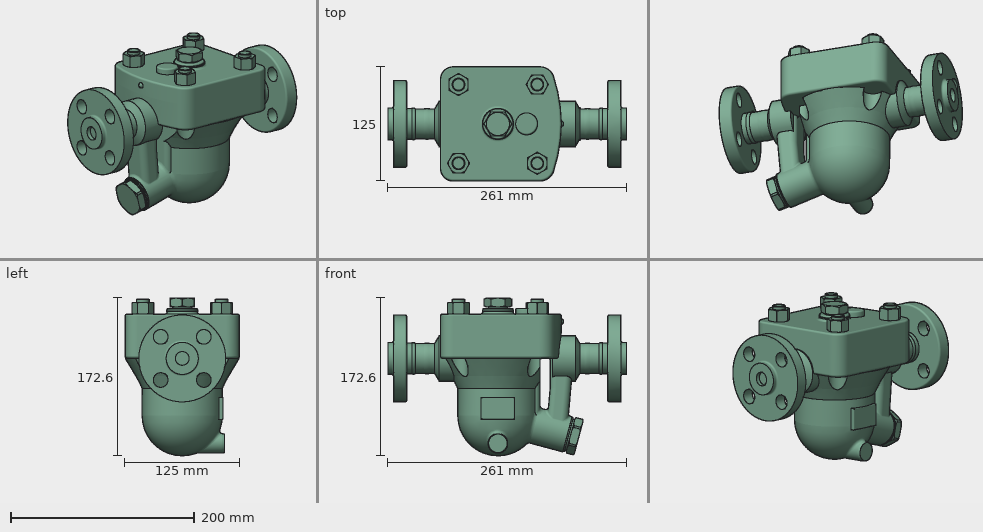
import math

import cadquery as cq

EIGHTH_TURN = math.pi / 4


SPLIT_Z = 29.6
COVER_TOP_Z = 48.4
HALF_WIDTH = 62.5
LEFT_X = -62.8
LEFT_CORNER_R = 14.0
RIGHT_CORNER_R = 16.0
RIGHT_CORNER_X = 45.8
RIGHT_CORNER_SWEEP = math.radians(71)
BULGE_TOP_X = 69.3
BULGE_BOTTOM_X = 67.8
COVER_EDGE_R = 2.2
BODY_EDGE_R = 2.6
NUB_R = 3.3
NUB_Z = 40.3
NUB_INSET = 0.8

NUT_TURN = 30.0
CROWN_ANGLE = math.radians(30)

STUD_PITCH = 86.0
STUD_D = 14.0
STUD_TOP_Z = 65.0
STUD_CHAMFER = 0.8
NUT_FLATS = 21.0
NUT_CORNER_D = 24.2
NUT_CROWN_D = 22.0
NUT_H = 12.8
SPOTFACE_D = 21.0
SPOTFACE_DEPTH = 40.0

PLUG_BOSS_D = 33.0
PLUG_BOSS_FILLET = 3.0
PLUG_GASKET_D = 34.0
PLUG_COLLAR_EDGE_R = 1.2
PLUG_GASKET_Z = 51.4
PLUG_COLLAR_Z = 52.9
PLUG_NECK_Z = 54.8
PLUG_NECK_D = 21.0
PLUG_HEAD_Z = 56.0
PLUG_TOP_Z = 66.1
PLUG_FLATS = 26.4
PLUG_CORNER_D = 30.4
PLUG_CROWN_D = 25.4
DISC_X = 31.4
DISC_D = 24.0
DISC_TOP_Z = 54.8
DISC_EDGE_R = 1.6

BOWL_R = 44.0
BOWL_TOP_R = 62.3
CONE_MID_Z = -19.3
CONE_MID_R = 50.6
CONE_BOTTOM_Z = -32.6
BOWL_CENTRE_Z = -62.5
GAP_X = 46.0
COLUMN_HALF_Y = 16.9
COLUMN_EDGE_R = 6.0
COLUMN_BOTTOM_Z = -70.0
PLATE_W = 36.4
PLATE_H = 24.0
PLATE_CENTRE_Z = -54.5
PLATE_FACE_Y = -44.6
PLATE_EDGE_R = 1.0
DRAIN_D = 21.5
DRAIN_Z = -92.8
DRAIN_FACE_Y = -46.2
DRAIN_TIP_D = 20.3
DRAIN_TIP_L = 2.6
DRAIN_BLEND_R = 3.0

BRANCH_ANGLE = 15.0
BRANCH_D = 40.0
BRANCH_END = 78.6
BRANCH_BLEND_R = 4.5
CAP_GASKET_D = 38.0
CAP_GASKET_END = 80.2
CAP_NECK_D = 35.0
CAP_HEAD_START = 82.2
CAP_END = 91.5
CAP_FLATS = 36.0
CAP_CORNER_D = 40.3
CAP_CROWN_D = 37.0
RISER_HALF_Y = 16.0
RISER_EDGE_R = 7.0
RISER_LEFT_X = 57.0
RISER_KINK_Z = -32.7
RISER_BOTTOM_Z = -80.0
RISER_BOTTOM_LEFT_X = 52.7
RISER_BOTTOM_RIGHT_X = 75.6
RISER_TOP_RIGHT_X = 82.6
RISER_BLEND_R = 2.5
GAP_ROOF_R = 2.0

OVERALL_L = 261.0
PIPE_CENTRE_X = 10.2
RAISED_FACE_D = 35.1
RAISED_FACE_H = 6.3
FLANGE_EDGE_R = 2.0
FLANGE_D = 95.0
FLANGE_T = 14.5
FLANGE_HOLE_D = 16.0
FLANGE_HOLES = 4
FLANGE_PCD = 66.7
FLANGE_HOLE_START = 45.0
HUB_D = 34.0
HUB_END = 26.3
WELD_RISE = 0.4
PIPE_START = 30.2
PIPE_D = 33.0
BEAD_START = 39.7
BEAD_END = 46.0
PIPE_END = 51.2
BOSS_START = 56.2
BOSS_D = 50.0
LEFT_BOSS_INNER_X = -30.0
RIGHT_BOSS_INNER_X = 59.7
BORE_D = 15.0
BORE_DEPTH = 5.0

SEAM_SAMPLES = (0.2, 0.5, 0.8)
SEAM_TOLERANCE = 0.001


def polar(radius, angle):
    return radius * math.cos(angle), radius * math.sin(angle)


def cylinder(diameter, z0, z1):
    return cq.Workplane("XY").workplane(offset=z0).circle(diameter / 2).extrude(z1 - z0)


def hexagon(flats, z0, z1, turn=0.0):
    """Hexagonal prism; its corners point along X when turn is 0."""
    corners = flats / math.cos(math.pi / 6)
    prism = cq.Workplane("XY").workplane(offset=z0).polygon(6, corners).extrude(z1 - z0)
    return prism.rotate((0, 0, 0), (0, 0, 1), turn)


def crowned_hexagon(flats, corner_d, crown_d, z0, z1, turn=0.0):
    """Hexagonal head with corners turned to corner_d and both ends crowned to crown_d."""
    crown_h = (corner_d - crown_d) / 2 * math.tan(CROWN_ANGLE)
    blank = (
        cq.Workplane("XZ")
        .moveTo(0, z0)
        .lineTo(crown_d / 2, z0)
        .lineTo(corner_d / 2, z0 + crown_h)
        .lineTo(corner_d / 2, z1 - crown_h)
        .lineTo(crown_d / 2, z1)
        .lineTo(0, z1)
        .close()
        .revolve(360, (0, 0), (0, 1))
    )
    return hexagon(flats, z0, z1, turn).intersect(blank)


def flange_outline(z, bulge_x):
    """Square outline with rounded corners and an outward-curved right side."""
    left_cx = LEFT_X + LEFT_CORNER_R
    left_cy = HALF_WIDTH - LEFT_CORNER_R
    right_cy = HALF_WIDTH - RIGHT_CORNER_R
    left_dx, left_dy = polar(LEFT_CORNER_R, EIGHTH_TURN)
    first_dx, first_dy = polar(RIGHT_CORNER_R, math.pi / 2 - RIGHT_CORNER_SWEEP / 2)
    end_dx, end_dy = polar(RIGHT_CORNER_R, math.pi / 2 - RIGHT_CORNER_SWEEP)
    mid_x, mid_y = RIGHT_CORNER_X + first_dx, right_cy + first_dy
    end_x, end_y = RIGHT_CORNER_X + end_dx, right_cy + end_dy
    return (
        cq.Workplane("XY").workplane(offset=z)
        .moveTo(LEFT_X, -left_cy)
        .lineTo(LEFT_X, left_cy)
        .threePointArc((left_cx - left_dx, left_cy + left_dy), (left_cx, HALF_WIDTH))
        .lineTo(RIGHT_CORNER_X, HALF_WIDTH)
        .threePointArc((mid_x, mid_y), (end_x, end_y))
        .threePointArc((bulge_x, 0), (end_x, -end_y))
        .threePointArc((mid_x, -mid_y), (RIGHT_CORNER_X, -HALF_WIDTH))
        .lineTo(left_cx, -HALF_WIDTH)
        .threePointArc((left_cx - left_dx, -left_cy - left_dy), (LEFT_X, -left_cy))
        .close()
    )


def make_cover():
    cover = flange_outline(SPLIT_Z, BULGE_TOP_X).extrude(COVER_TOP_Z - SPLIT_Z)
    cover = cover.faces(">Z").edges().fillet(COVER_EDGE_R)
    nub = cq.Workplane("XY").sphere(NUB_R).translate((BULGE_TOP_X - NUB_INSET, 0, NUB_Z))
    return cover.union(nub)


def make_body_flange():
    """Lower half of the joint, whose curved side leans inwards towards the bottom."""
    bottom = flange_outline(0, BULGE_BOTTOM_X).wires().val()
    top = flange_outline(SPLIT_Z, BULGE_TOP_X).wires().val()
    block = cq.Workplane(cq.Solid.makeLoft([bottom, top], True))
    return block.faces("<Z").edges().fillet(BODY_EDGE_R)


def add_studs(part):
    """Four studs with nuts; neighbouring nuts are turned by 30 degrees."""
    half = STUD_PITCH / 2
    for sx in (-1, 1):
        for sy in (-1, 1):
            turn = 0 if sx == sy else NUT_TURN
            nut = crowned_hexagon(
                NUT_FLATS, NUT_CORNER_D, NUT_CROWN_D, COVER_TOP_Z, COVER_TOP_Z + NUT_H, turn
            )
            stud = cylinder(STUD_D, COVER_TOP_Z, STUD_TOP_Z).faces(">Z").chamfer(STUD_CHAMFER)
            part = part.union(nut.union(stud).translate((sx * half, sy * half, 0)))
    return part


def make_cover_plug():
    boss_r = PLUG_BOSS_D / 2
    foot_r = boss_r + PLUG_BOSS_FILLET
    fillet_dx, fillet_dz = polar(PLUG_BOSS_FILLET, EIGHTH_TURN)
    boss = (
        cq.Workplane("XZ")
        .moveTo(0, COVER_TOP_Z)
        .lineTo(foot_r, COVER_TOP_Z)
        .threePointArc(
            (foot_r - fillet_dx, COVER_TOP_Z + PLUG_BOSS_FILLET - fillet_dz),
            (boss_r, COVER_TOP_Z + PLUG_BOSS_FILLET),
        )
        .lineTo(0, COVER_TOP_Z + PLUG_BOSS_FILLET)
        .close()
        .revolve(360, (0, 0), (0, 1))
    )
    gasket = cylinder(PLUG_GASKET_D, PLUG_GASKET_Z, PLUG_COLLAR_Z)
    collar = cylinder(PLUG_BOSS_D, PLUG_COLLAR_Z, PLUG_NECK_Z)
    collar = collar.faces(">Z").edges().fillet(PLUG_COLLAR_EDGE_R)
    neck = cylinder(PLUG_NECK_D, PLUG_NECK_Z, PLUG_HEAD_Z)
    head = crowned_hexagon(PLUG_FLATS, PLUG_CORNER_D, PLUG_CROWN_D, PLUG_HEAD_Z, PLUG_TOP_Z)
    return boss.union(gasket).union(collar).union(neck).union(head)


def make_disc():
    disc = cylinder(DISC_D, COVER_TOP_Z, DISC_TOP_Z).faces(">Z").edges().fillet(DISC_EDGE_R)
    return disc.translate((DISC_X, 0, 0))


def make_bowl():
    """Round bowl, flared at the top, with a flat side facing the riser."""
    arc_x, arc_z = polar(BOWL_R, EIGHTH_TURN)
    bowl = (
        cq.Workplane("XZ")
        .moveTo(0, SPLIT_Z)
        .lineTo(CONE_MID_R, SPLIT_Z)
        .lineTo(CONE_MID_R, 0)
        .lineTo(BOWL_TOP_R, 0)
        .lineTo(CONE_MID_R, CONE_MID_Z)
        .lineTo(BOWL_R, CONE_BOTTOM_Z)
        .lineTo(BOWL_R, BOWL_CENTRE_Z)
        .threePointArc((arc_x, BOWL_CENTRE_Z - arc_z), (0, BOWL_CENTRE_Z - BOWL_R))
        .close()
        .revolve(360, (0, 0), (0, 1))
    )
    half = STUD_PITCH / 2
    for sx in (-1, 1):
        for sy in (-1, 1):
            spotface = cylinder(SPOTFACE_D, -SPOTFACE_DEPTH, 0).translate((sx * half, sy * half, 0))
            bowl = bowl.cut(spotface)
    waste = cq.Workplane("XY").box(
        BOWL_TOP_R, 2 * BOWL_TOP_R, -BOWL_CENTRE_Z, centered=(False, True, False)
    )
    bowl = bowl.cut(waste.translate((GAP_X, 0, BOWL_CENTRE_Z)))
    column = (
        cq.Workplane("XY").workplane(offset=COLUMN_BOTTOM_Z)
        .center(GAP_X / 2, 0)
        .rect(GAP_X, 2 * COLUMN_HALF_Y)
        .extrude(-COLUMN_BOTTOM_Z)
        .edges("|Z and >X").fillet(COLUMN_EDGE_R)
    )
    return bowl.union(column)


def make_drain():
    """Horizontal drain stub with a slightly tapered tip."""
    shank_l = -DRAIN_FACE_Y - DRAIN_TIP_L
    forward = cq.Vector(0, -1, 0)
    shank = cq.Solid.makeCylinder(DRAIN_D / 2, shank_l, cq.Vector(0, 0, DRAIN_Z), forward)
    tip_base = cq.Vector(0, -shank_l, DRAIN_Z)
    tip = cq.Solid.makeCone(DRAIN_D / 2, DRAIN_TIP_D / 2, DRAIN_TIP_L, tip_base, forward)
    return cq.Workplane(shank).union(cq.Workplane(tip))


def make_plate():
    plate = (
        cq.Workplane("XZ")
        .center(0, PLATE_CENTRE_Z)
        .rect(PLATE_W, PLATE_H)
        .extrude(-PLATE_FACE_Y)
    )
    return plate.faces("<Y").edges().fillet(PLATE_EDGE_R)


def along_branch(shape):
    """Move a shape built along +Z onto the sloping branch axis."""
    turned = shape.rotate((0, 0, 0), (0, 1, 0), 90 + BRANCH_ANGLE)
    return turned.translate((0, 0, BOWL_CENTRE_Z))


def make_riser():
    riser = (
        cq.Workplane("XZ")
        .moveTo(RISER_LEFT_X, 0)
        .lineTo(RISER_LEFT_X, RISER_KINK_Z)
        .lineTo(RISER_BOTTOM_LEFT_X, RISER_BOTTOM_Z)
        .lineTo(RISER_BOTTOM_RIGHT_X, RISER_BOTTOM_Z)
        .lineTo(RISER_TOP_RIGHT_X, 0)
        .close()
        .extrude(RISER_HALF_Y, both=True)
    )
    return riser.faces("<Y or >Y").edges("not #Z").fillet(RISER_EDGE_R)


def make_gap_roof():
    """Rounded inside corners where the column and the riser meet the flange underside."""
    gap_w = RISER_LEFT_X - GAP_X
    flat_w = 2 * (RISER_HALF_Y - RISER_EDGE_R)
    roof = cq.Workplane("XY").box(gap_w, flat_w, GAP_ROOF_R, centered=(False, True, False))
    arch = (
        cq.Workplane("XY")
        .box(gap_w, flat_w, 2 * GAP_ROOF_R, centered=(False, True, False))
        .edges("|Y and >Z").fillet(GAP_ROOF_R)
        .translate((0, 0, -GAP_ROOF_R))
    )
    return roof.cut(arch).translate((GAP_X, 0, -GAP_ROOF_R))


def make_cap():
    gasket = cylinder(CAP_GASKET_D, BRANCH_END, CAP_GASKET_END)
    neck = cylinder(CAP_NECK_D, CAP_GASKET_END, CAP_HEAD_START)
    head = crowned_hexagon(CAP_FLATS, CAP_CORNER_D, CAP_CROWN_D, CAP_HEAD_START, CAP_END)
    return along_branch(gasket.union(neck).union(head))


def make_pipe_end(inner):
    """Flanged pipe end built along +X, its end face at X = 0 and its boss ending at inner."""
    face_r = RAISED_FACE_D / 2
    flange_r = FLANGE_D / 2
    back = RAISED_FACE_H + FLANGE_T
    round_d, _ = polar(FLANGE_EDGE_R, EIGHTH_TURN)
    pipe_r = PIPE_D / 2
    weld_r = HUB_D / 2 + WELD_RISE
    bead_r = pipe_r + WELD_RISE
    body = (
        cq.Workplane("XY")
        .lineTo(0, face_r)
        .lineTo(RAISED_FACE_H - FLANGE_EDGE_R, face_r)
        .threePointArc(
            (RAISED_FACE_H - FLANGE_EDGE_R + round_d, face_r + FLANGE_EDGE_R - round_d),
            (RAISED_FACE_H, face_r + FLANGE_EDGE_R),
        )
        .lineTo(RAISED_FACE_H, flange_r)
        .lineTo(back - FLANGE_EDGE_R, flange_r)
        .threePointArc(
            (back - FLANGE_EDGE_R + round_d, flange_r - FLANGE_EDGE_R + round_d),
            (back, flange_r - FLANGE_EDGE_R),
        )
        .lineTo(back, HUB_D / 2)
        .lineTo(HUB_END, HUB_D / 2)
        .threePointArc(((HUB_END + PIPE_START) / 2, weld_r), (PIPE_START, pipe_r))
        .lineTo(BEAD_START, pipe_r)
        .threePointArc(((BEAD_START + BEAD_END) / 2, bead_r), (BEAD_END, pipe_r))
        .lineTo(PIPE_END, pipe_r)
        .lineTo(BOSS_START, BOSS_D / 2)
        .lineTo(inner, BOSS_D / 2)
        .lineTo(inner, 0)
        .close()
        .revolve(360, (0, 0), (1, 0))
    )
    holes = (
        cq.Workplane("YZ")
        .polarArray(FLANGE_PCD / 2, FLANGE_HOLE_START, 360, FLANGE_HOLES)
        .circle(FLANGE_HOLE_D / 2)
        .extrude(back)
    )
    bore = cq.Workplane("YZ").circle(BORE_D / 2).extrude(BORE_DEPTH)
    return body.cut(holes).cut(bore)


def make_left_pipe():
    end_x = PIPE_CENTRE_X - OVERALL_L / 2
    return make_pipe_end(LEFT_BOSS_INNER_X - end_x).translate((end_x, 0, 0))


def make_right_pipe():
    end_x = PIPE_CENTRE_X + OVERALL_L / 2
    pipe = make_pipe_end(end_x - RIGHT_BOSS_INNER_X)
    return pipe.mirror("YZ").translate((end_x, 0, 0))


def blend(base, addition, radius):
    """Join two solids and fillet the seam where their surfaces meet."""
    joined = base.union(addition)

    def touches_both(edge):
        points = [cq.Vertex.makeVertex(*edge.positionAt(t).toTuple()) for t in SEAM_SAMPLES]
        gaps = [solid.val().distance(point) for solid in (base, addition) for point in points]
        return max(gaps) < SEAM_TOLERANCE

    seam = [edge for edge in joined.edges().vals() if touches_both(edge)]
    return joined.newObject(seam).fillet(radius)


branch = along_branch(cylinder(BRANCH_D, 0, BRANCH_END))
body = blend(make_bowl(), branch, BRANCH_BLEND_R)
body = blend(body, make_riser(), RISER_BLEND_R)
body = blend(body, make_drain(), DRAIN_BLEND_R)
body = body.union(make_body_flange()).union(make_gap_roof()).union(make_plate())
body = body.union(make_left_pipe()).union(make_right_pipe()).union(make_cap())
body = body.union(make_cover()).union(make_cover_plug()).union(make_disc())
result = add_studs(body)